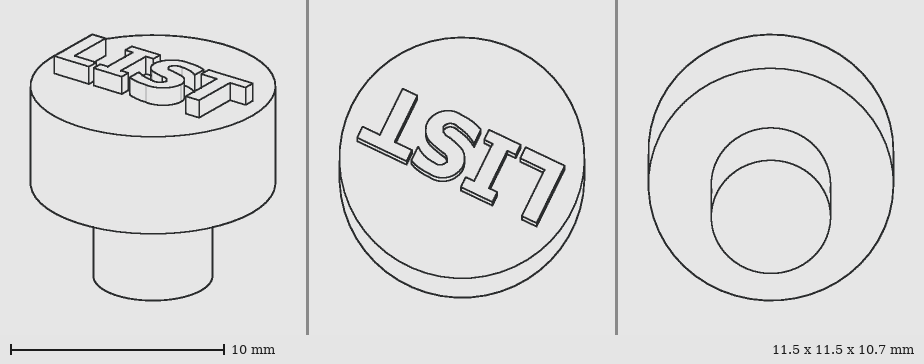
import cadquery as cq

head_diameter = 11.5
head_height = 5.0
stem_diameter = 5.6
stem_height = 4.8

letter_height = 0.9
letter_base = -1.61
letter_top = 1.43
letter_length = letter_top - letter_base
stroke = 0.77
bar = 0.59

l_left = -4.58
l_width = 2.04
i_left = -2.28
i_width = 1.65
serif = 0.53
t_left = 2.2
t_width = 2.58

upper_terminal_x = 2.01
upper_terminal_top = 1.3
upper_terminal_bottom = 0.56
lower_terminal_x = -0.29
lower_terminal_top = -0.71
lower_terminal_bottom = -1.45
s_left_arcs = [
    ((1.55, 1.45), (1.0, 1.5)),
    ((0.07, 1.23), (-0.29, 0.53)),
    ((-0.2, 0.12), (0.09, -0.22)),
    ((0.46, -0.36), (0.87, -0.47)),
    ((1.24, -0.6), (1.36, -0.82)),
    ((1.22, -1.04), (0.78, -1.1)),
    ((0.24, -0.98), (lower_terminal_x, lower_terminal_top)),
]
s_right_arcs = [
    ((0.17, -1.61), (0.8, -1.68)),
    ((1.87, -1.3), (2.13, -0.69)),
    ((1.98, -0.2), (1.66, 0.09)),
    ((1.29, 0.21), (0.87, 0.31)),
    ((0.6, 0.41), (0.48, 0.61)),
    ((0.63, 0.85), (1.0, 0.92)),
    ((1.58, 0.82), (upper_terminal_x, upper_terminal_bottom)),
]

head_top = stem_height + head_height
letter_plane = cq.Workplane("XY").workplane(offset=head_top)


def raised_bar(left, bottom, width, length):
    """A rectangular letter stroke standing on the head."""
    return (
        letter_plane.moveTo(left, bottom)
        .rect(width, length, centered=False)
        .extrude(letter_height)
    )


def letter_l():
    upright = raised_bar(l_left, letter_base, stroke, letter_length)
    foot = raised_bar(l_left, letter_base, l_width, bar)
    return upright.union(foot)


def letter_i():
    upright_left = i_left + (i_width - stroke) / 2
    letter = raised_bar(upright_left, letter_base, stroke, letter_length)
    for bottom in (letter_base, letter_top - serif):
        letter = letter.union(raised_bar(i_left, bottom, i_width, serif))
    return letter


def letter_s():
    outline = letter_plane.moveTo(upper_terminal_x, upper_terminal_top)
    for middle, end in s_left_arcs:
        outline = outline.threePointArc(middle, end)
    outline = outline.lineTo(lower_terminal_x, lower_terminal_bottom)
    for middle, end in s_right_arcs:
        outline = outline.threePointArc(middle, end)
    return outline.close().extrude(letter_height)


def letter_t():
    upright_left = t_left + (t_width - stroke) / 2
    upright = raised_bar(upright_left, letter_base, stroke, letter_length)
    crossbar = raised_bar(t_left, letter_top - bar, t_width, bar)
    return upright.union(crossbar)


stem = cq.Workplane("XY").circle(stem_diameter / 2).extrude(stem_height)
head = cq.Workplane("XY").workplane(offset=stem_height).circle(head_diameter / 2).extrude(head_height)

body = stem.union(head)
for letter in (letter_l(), letter_i(), letter_s(), letter_t()):
    body = body.union(letter)

result = body